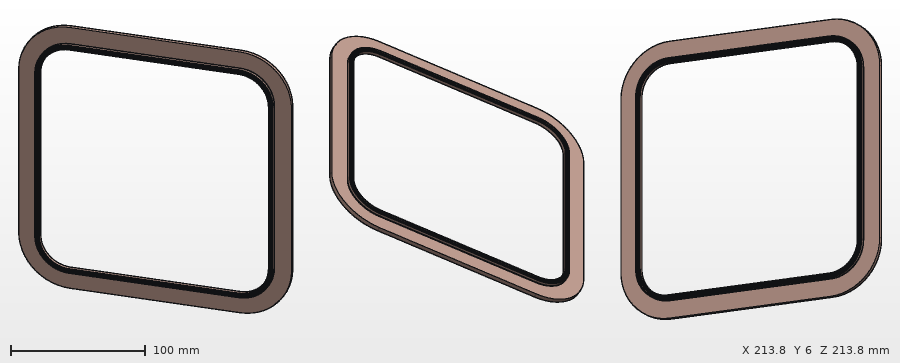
import cadquery as cq

frame_size = 213.8
corner_radius = 40.5
total_depth = 6.0
flange_thickness = 3.5

lip_inset = 13.5
lip_width = 3.8
lip_thickness = 3.2
groove_step = lip_width / 5
wide_groove_depth = 1.0
narrow_groove_depth = 2.1

back_y = total_depth / 2
front_y = -total_depth / 2
opening_inset = lip_inset + lip_width


def rounded_block(inset, start_y, thickness):
    """Rounded square block growing toward +Y, with corners concentric to the frame outline."""
    side = frame_size - 2 * inset
    return (
        cq.Workplane("XZ", origin=(0, start_y, 0))
        .rect(side, side)
        .extrude(-thickness)
        .edges("|Y")
        .fillet(corner_radius - inset)
    )


def ring(outer_inset, inner_inset, start_y, thickness):
    """Rounded square ring between two insets from the frame outline."""
    outer = rounded_block(outer_inset, start_y, thickness)
    return outer.cut(rounded_block(inner_inset, start_y, thickness))


def groove(margin, depth):
    """Groove cutter in the front face of the lip, leaving the margin on both sides."""
    return ring(lip_inset + margin, opening_inset - margin, front_y, depth)


flange = ring(0, lip_inset, back_y - flange_thickness, flange_thickness)
lip = ring(lip_inset, opening_inset, front_y, lip_thickness)

result = (
    flange.union(lip)
    .cut(groove(groove_step, wide_groove_depth))
    .cut(groove(2 * groove_step, narrow_groove_depth))
)